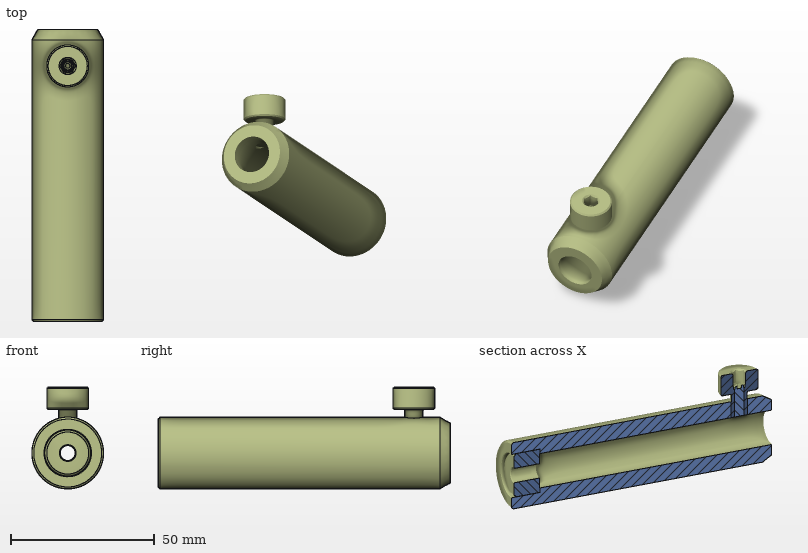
import cadquery as cq
import math


HOUSING_DIAMETER = 25.0
HOUSING_LENGTH = 101.6
HOUSING_RADIUS = HOUSING_DIAMETER / 2
BASE_EDGE_CHAMFER = 0.7
MOUTH_TAPER_DEPTH = 2.1
MOUTH_TAPER_ANGLE = 30.0
MOUTH_TAPER_LENGTH = MOUTH_TAPER_DEPTH / math.tan(math.radians(MOUTH_TAPER_ANGLE))
POST_BORE_DIAMETER = 12.7

PLUG_DIAMETER = 16.0
PLUG_LENGTH = 10.0
PLUG_RECESS = 1.0
PLUG_EDGE_CHAMFER = 0.7
PLUG_HOLE_DIAMETER = 5.2
PLUG_HOLE_CHAMFER = 0.3
COUNTERBORE_DEPTH = PLUG_RECESS + PLUG_LENGTH
COUNTERBORE_EDGE_CHAMFER = 0.25

SCREW_FROM_MOUTH = 12.7
SCREW_Y = HOUSING_LENGTH - SCREW_FROM_MOUTH
OVERALL_HEIGHT = 35.41
HEAD_TOP_Z = OVERALL_HEIGHT - HOUSING_RADIUS
HEAD_DIAMETER = 14.6
HEAD_HEIGHT = 7.8
HEAD_EDGE_CHAMFER = 0.5
HEAD_BOTTOM_Z = HEAD_TOP_Z - HEAD_HEIGHT
SHANK_DIAMETER = 6.35
SHANK_FILLET = 0.3
SHANK_TIP_Z = POST_BORE_DIAMETER / 2
SOCKET_ACROSS_FLATS = 4.76
SOCKET_ACROSS_CORNERS = SOCKET_ACROSS_FLATS / math.cos(math.pi / 6)
SOCKET_DEPTH = 5.0
SOCKET_FLOOR_Z = HEAD_TOP_Z - SOCKET_DEPTH
COUNTERSINK_DIAMETER = 6.0
DRILL_DIAMETER = 4.4
DRILL_DEPTH = 1.0
DRILL_FLOOR_Z = SOCKET_FLOOR_Z - DRILL_DEPTH

PIN_DIAMETER = 3.6
PIN_EDGE_CHAMFER = 0.4
PIN_SOCKET_ACROSS_CORNERS = 1.8
PIN_SOCKET_DEPTH = 1.0


def cylinder_y(diameter, start_y, length):
    """Solid cylinder on the Y axis that runs from start_y towards +Y."""
    return cq.Workplane("XZ", origin=(0, start_y, 0)).circle(diameter / 2).extrude(-length)


def cylinder_z(diameter, bottom_z, top_z):
    """Solid cylinder on the thumbscrew axis between two heights."""
    return cq.Workplane("XY", origin=(0, SCREW_Y, bottom_z)).circle(diameter / 2).extrude(top_z - bottom_z)


def hex_pocket(across_corners, top_z, depth):
    """Hexagonal cutter on the thumbscrew axis with two corners along X."""
    pocket = cq.Workplane("XY", origin=(0, SCREW_Y, top_z - depth))
    return pocket.polygon(6, across_corners).extrude(depth)


def make_housing():
    body = cylinder_y(HOUSING_DIAMETER, 0, HOUSING_LENGTH)
    body = body.faces("<Y").chamfer(BASE_EDGE_CHAMFER)
    body = body.faces(">Y").chamfer(MOUTH_TAPER_LENGTH, MOUTH_TAPER_DEPTH)
    body = body.cut(cylinder_y(POST_BORE_DIAMETER, 0, HOUSING_LENGTH))
    body = body.cut(cylinder_y(PLUG_DIAMETER, 0, COUNTERBORE_DEPTH))
    body = body.faces("<Y").edges(cq.selectors.RadiusNthSelector(0))
    body = body.chamfer(COUNTERBORE_EDGE_CHAMFER)
    return body.cut(cylinder_z(SHANK_DIAMETER, 0, HOUSING_RADIUS))


def make_base_plug():
    plug = cylinder_y(PLUG_DIAMETER, PLUG_RECESS, PLUG_LENGTH)
    plug = plug.faces("<Y").chamfer(PLUG_EDGE_CHAMFER)
    plug = plug.cut(cylinder_y(PLUG_HOLE_DIAMETER, PLUG_RECESS, PLUG_LENGTH))
    hole_rim = plug.faces("<Y").edges(cq.selectors.RadiusNthSelector(0))
    return hole_rim.chamfer(PLUG_HOLE_CHAMFER)


def make_thumbscrew():
    head = cylinder_z(HEAD_DIAMETER, HEAD_BOTTOM_Z, HEAD_TOP_Z)
    head = head.faces("<Z or >Z").chamfer(HEAD_EDGE_CHAMFER)
    screw = head.union(cylinder_z(SHANK_DIAMETER, SHANK_TIP_Z, HEAD_BOTTOM_Z))
    shank_root = screw.edges(cq.selectors.RadiusNthSelector(0)).edges(">Z")
    screw = shank_root.fillet(SHANK_FILLET)
    screw = screw.cut(hex_pocket(SOCKET_ACROSS_CORNERS, HEAD_TOP_Z, SOCKET_DEPTH))
    countersink_radius = COUNTERSINK_DIAMETER / 2
    countersink_tip = cq.Vector(0, SCREW_Y, HEAD_TOP_Z - countersink_radius)
    countersink = cq.Solid.makeCone(0, countersink_radius, countersink_radius, countersink_tip)
    screw = screw.cut(cq.Workplane(countersink))
    screw = screw.cut(cylinder_z(DRILL_DIAMETER, DRILL_FLOOR_Z, SOCKET_FLOOR_Z))
    return screw.cut(cylinder_z(PIN_DIAMETER, SHANK_TIP_Z, DRILL_FLOOR_Z))


def make_pin():
    pin = cylinder_z(PIN_DIAMETER, SHANK_TIP_Z, SOCKET_FLOOR_Z)
    pin = pin.faces(">Z").chamfer(PIN_EDGE_CHAMFER)
    return pin.cut(hex_pocket(PIN_SOCKET_ACROSS_CORNERS, SOCKET_FLOOR_Z, PIN_SOCKET_DEPTH))


housing = make_housing()
base_plug = make_base_plug()
thumbscrew = make_thumbscrew()
pin = make_pin()

result = cq.Compound.makeCompound([housing.val(), base_plug.val(), thumbscrew.val(), pin.val()])